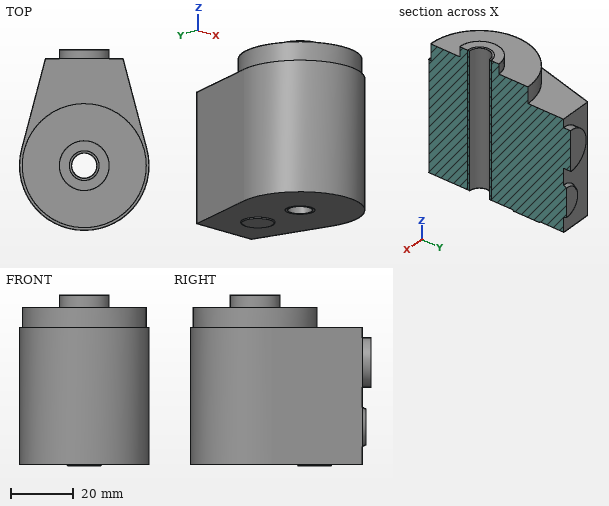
import cadquery as cq
import math

round_radius = 20.7
back_face_y = 34.2
back_half_width = 12.4
block_height = 43.8

cover_radius = 19.8
cover_height = 6.4
collar_radius = 7.95
collar_height = 3.86
top_z = block_height + cover_height + collar_height

sleeve_outer_radius = 4.75
sleeve_inner_radius = 4.0

boss_radius = 7.95
boss_length = 2.86
boss_z = 32.6

back_plug_base_radius = 6.35
back_plug_end_radius = 5.7
back_plug_length = 1.2
back_plug_z = 12.0

bottom_plug_base_radius = 5.5
bottom_plug_end_radius = 5.25
bottom_plug_length = 0.4
bottom_plug_y = 19.0

DOWN = cq.Vector(0, 0, -1)
BACKWARD = cq.Vector(0, 1, 0)


def tapered_plug(base_radius, end_radius, length, base_center, direction):
    """Truncated cone standing on base_center and narrowing along direction."""
    cone = cq.Solid.makeCone(base_radius, end_radius, length, base_center, direction)
    return cq.Workplane(obj=cone)


def tapered_block():
    """Block whose straight sides run tangent to its round front."""
    corner_distance = math.hypot(back_half_width, back_face_y)
    corner_angle = math.atan2(back_face_y, back_half_width)
    tangent_angle = corner_angle - math.acos(round_radius / corner_distance)
    tangent_x = round_radius * math.cos(tangent_angle)
    tangent_y = round_radius * math.sin(tangent_angle)
    return (
        cq.Workplane("XY")
        .moveTo(-back_half_width, back_face_y)
        .lineTo(-tangent_x, tangent_y)
        .threePointArc((0, -round_radius), (tangent_x, tangent_y))
        .lineTo(back_half_width, back_face_y)
        .close()
        .extrude(block_height)
    )


def make_housing():
    """Block with cover, collar, back boss and plugs, bored through for the sleeve."""
    cover = cq.Workplane("XY", origin=(0, 0, block_height)).circle(cover_radius).extrude(cover_height)
    collar = cover.faces(">Z").workplane().circle(collar_radius).extrude(collar_height)
    boss = cq.Workplane(
        obj=cq.Solid.makeCylinder(boss_radius, boss_length, cq.Vector(0, back_face_y, boss_z), BACKWARD)
    )
    back_plug = tapered_plug(
        back_plug_base_radius,
        back_plug_end_radius,
        back_plug_length,
        cq.Vector(0, back_face_y, back_plug_z),
        BACKWARD,
    )
    bottom_plug = tapered_plug(
        bottom_plug_base_radius,
        bottom_plug_end_radius,
        bottom_plug_length,
        cq.Vector(0, bottom_plug_y, 0),
        DOWN,
    )
    bore = cq.Workplane("XY").circle(sleeve_outer_radius).extrude(top_z)
    return tapered_block().union(collar).union(boss).union(back_plug).union(bottom_plug).cut(bore)


def make_sleeve():
    """Plain tube filling the bore, flush with the collar and the underside."""
    return cq.Workplane("XY").circle(sleeve_outer_radius).circle(sleeve_inner_radius).extrude(top_z)


housing = make_housing()
sleeve = make_sleeve()

result = cq.Compound.makeCompound([housing.val(), sleeve.val()])